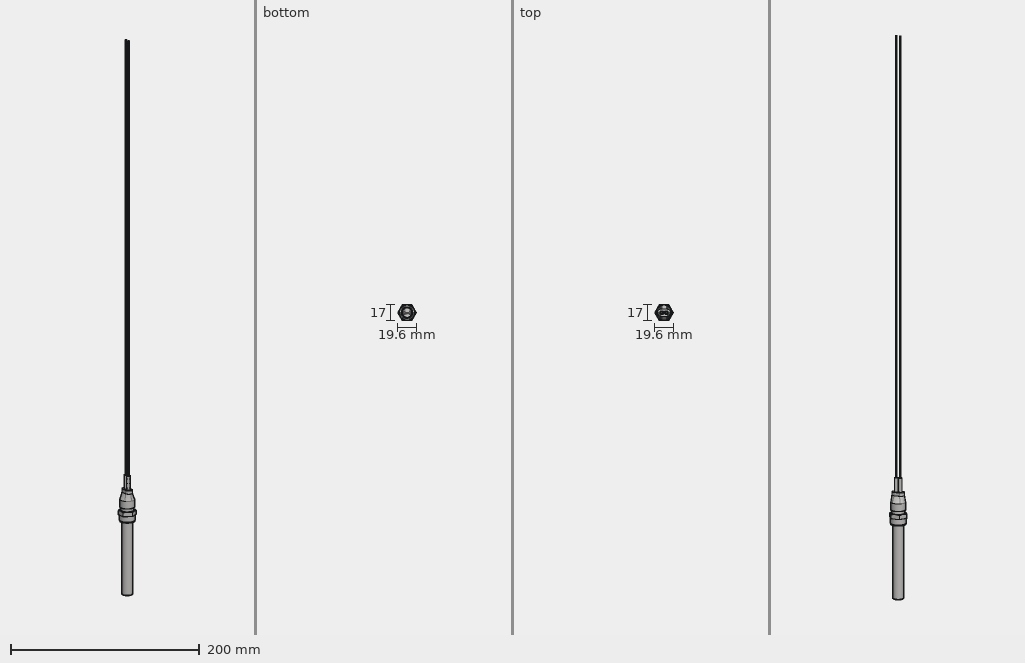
import cadquery as cq
import math

total_height = 613.97
washer_bottom = 81.35
washer_thickness = 1.15
collar_height = 6.25
hex_height = 5.0
neck_height = 3.25
cap_skirt_height = 8.5
cap_taper_height = 7.5
head_height = 3.6
sleeve_height = 15.4

collar_bottom = washer_bottom + washer_thickness
hex_bottom = collar_bottom + collar_height
hex_top = hex_bottom + hex_height
cap_bottom = hex_top + neck_height
head_bottom = cap_bottom + cap_skirt_height + cap_taper_height
head_top = head_bottom + head_height
sleeve_top = head_top + sleeve_height

tube_diameter = 12.0
tube_end_chamfer = 1.0
across_flats = 17.0
across_corners = across_flats / math.cos(math.pi / 6)
collar_diameter = across_flats
neck_diameter = 14.0
hex_chamfer_angle = math.radians(30)

washer_diameter = 16.0

cap_diameter = 16.0
head_length = 14.0
head_width = 8.0

wire_spacing = 4.8
wire_diameter = 1.8
sleeve_diameter = 4.0


def cylinder(diameter, bottom, top):
    return cq.Workplane("XY").workplane(offset=bottom).circle(diameter / 2).extrude(top - bottom)


def chamfered_hexagon():
    """Hexagon with corners on X, its corners turned off conically at the top."""
    prism = (
        cq.Workplane("XY").workplane(offset=hex_bottom)
        .polygon(6, across_corners).extrude(hex_height)
    )
    corner_radius = across_corners / 2
    flat_radius = across_flats / 2
    corner_drop = (corner_radius - flat_radius) * math.tan(hex_chamfer_angle)
    turned = (
        cq.Workplane("XZ")
        .moveTo(0, hex_bottom)
        .lineTo(corner_radius, hex_bottom)
        .lineTo(corner_radius, hex_top - corner_drop)
        .lineTo(flat_radius, hex_top)
        .lineTo(0, hex_top)
        .close()
        .revolve(360, (0, 0, 0), (0, 1, 0))
    )
    return prism.intersect(turned)


def make_housing():
    """Probe tube with a collar, a hexagon and a neck above it."""
    tube = cylinder(tube_diameter, 0, collar_bottom).faces("<Z").chamfer(tube_end_chamfer)
    collar = cylinder(collar_diameter, collar_bottom, hex_bottom)
    neck = cylinder(neck_diameter, hex_top, cap_bottom)
    return tube.union(collar).union(chamfered_hexagon()).union(neck)


def make_washer():
    disc = cylinder(washer_diameter, washer_bottom, collar_bottom)
    return disc.cut(cylinder(tube_diameter, washer_bottom, collar_bottom))


def make_cap():
    """Round skirt that tapers up to the oval outline of the head."""
    taper_bottom = cap_bottom + cap_skirt_height
    skirt = cylinder(cap_diameter, cap_bottom, taper_bottom)
    taper = (
        cq.Workplane("XY").workplane(offset=taper_bottom)
        .circle(cap_diameter / 2)
        .workplane(offset=cap_taper_height)
        .slot2D(head_length, head_width)
        .loft()
    )
    return skirt.union(taper)


def make_head():
    return (
        cq.Workplane("XY").workplane(offset=head_bottom)
        .slot2D(head_length, head_width).extrude(head_height)
    )


def make_wire(x):
    return cylinder(wire_diameter, head_top, total_height).translate((x, 0, 0))


def make_sleeve(x):
    sleeve = cylinder(sleeve_diameter, head_top, sleeve_top).translate((x, 0, 0))
    return sleeve.cut(make_wire(x))


bodies = [make_housing(), make_washer(), make_cap(), make_head()]
for side in (-1, 1):
    wire_x = side * wire_spacing / 2
    bodies.append(make_sleeve(wire_x))
    bodies.append(make_wire(wire_x))

result = cq.Compound.makeCompound([body.val() for body in bodies])